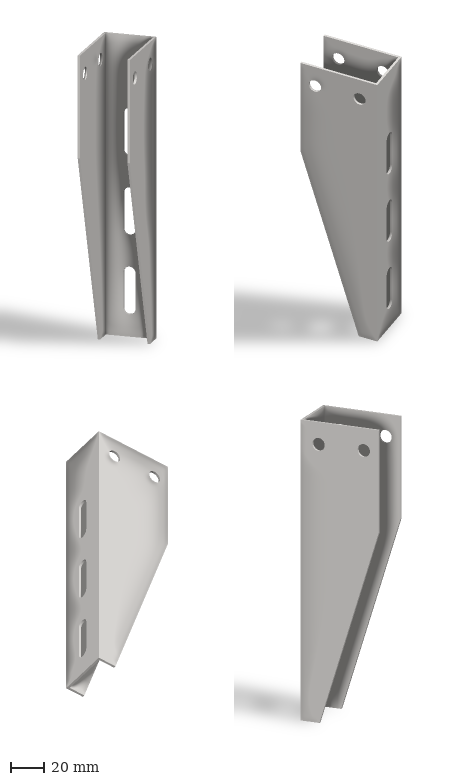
import cadquery as cq

width = 33.0
depth = 51.9
height = 190.0
sheet = 1.5

foot_depth = 12.5
taper_start = 125.0

slot_width = 7.6
slot_length = 30.0
slot_pitch = 50.0
middle_slot_height = 79.0

hole_diameter = 8.2
hole_height = height - 14.0
rear_hole_inset = 12.0
hole_spacing = 30.0

back = depth / 2
front = -depth / 2


def tapered_block():
    """Solid block with the side outline of the flanges."""
    outline = [
        (back, 0),
        (back, height),
        (front, height),
        (front, taper_start),
        (back - foot_depth, 0),
    ]
    return cq.Workplane("YZ").polyline(outline).close().extrude(width / 2, both=True)


def channel_space():
    """Space between the flanges, open at the front, top and bottom."""
    return (
        cq.Workplane("XY")
        .center(0, -sheet)
        .rect(width - 2 * sheet, depth)
        .extrude(height)
    )


def web_slots():
    """Row of round-ended slots passing through the back web."""
    centers = [(0, middle_slot_height + step * slot_pitch) for step in (-1, 0, 1)]
    return (
        cq.Workplane("XZ")
        .pushPoints(centers)
        .slot2D(slot_length, slot_width, 90)
        .extrude(depth, both=True)
    )


def flange_holes():
    """Pair of round holes passing through both flanges."""
    rear_hole = back - rear_hole_inset
    centers = [(rear_hole, hole_height), (rear_hole - hole_spacing, hole_height)]
    return (
        cq.Workplane("YZ")
        .pushPoints(centers)
        .circle(hole_diameter / 2)
        .extrude(width, both=True)
    )


result = tapered_block().cut(channel_space()).cut(web_slots()).cut(flange_holes())